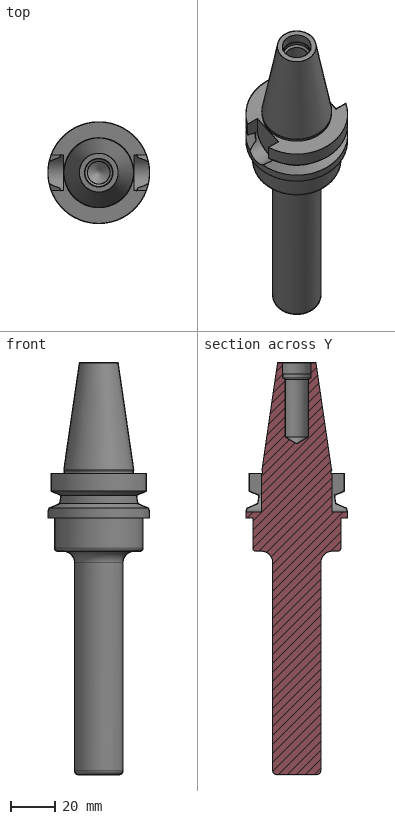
import cadquery as cq
import math

total_length = 186.4

taper_ratio = 7 / 24
taper_length = 48.5
gauge_diameter = 31.7
tip_diameter = gauge_diameter - taper_ratio * taper_length
gauge_z = total_length - taper_length
relief_diameter = 31.3
relief_top_z = 137.2

flange_diameter = 46.0
flange_top_z = 136.3
upper_rim_bottom_z = 128.2
groove_diameter = 38.0
groove_top_z = 126.4
groove_bottom_z = 122.7
lower_rim_top_z = 120.6
flange_bottom_z = 116.1

hub_diameter = 40.0
hub_bottom_z = 101.0
hub_fillet = 1.5

shank_diameter = 22.0
root_fillet = 5.0
shank_end_fillet = 1.9

slot_width = 16.2
slot_floor_x = 16.0
slot_bottom_z = 119.0

mouth_diameter = 12.9
mouth_depth = 5.2
counterbore_diameter = 12.5
counterbore_depth = 6.9
bore_diameter = 10.3
bore_depth = 33.5
drill_tip_angle = 118.0

quarter_arc_inset = 1 - math.sqrt(0.5)


def revolve_profile(profile):
    """Revolve a closed (radius, z) profile about the Z axis."""
    return profile.close().revolve(360, (0, 0, 0), (0, 1, 0))


def holder_body():
    shank_radius = shank_diameter / 2
    hub_radius = hub_diameter / 2
    flange_radius = flange_diameter / 2
    groove_radius = groove_diameter / 2
    relief_radius = relief_diameter / 2
    root_inset = root_fillet * quarter_arc_inset
    hub_inset = hub_fillet * quarter_arc_inset
    end_inset = shank_end_fillet * quarter_arc_inset
    profile = (
        cq.Workplane("XZ")
        .lineTo(shank_radius - shank_end_fillet, 0)
        .threePointArc(
            (shank_radius - end_inset, end_inset),
            (shank_radius, shank_end_fillet),
        )
        .lineTo(shank_radius, hub_bottom_z - root_fillet)
        .threePointArc(
            (shank_radius + root_inset, hub_bottom_z - root_inset),
            (shank_radius + root_fillet, hub_bottom_z),
        )
        .lineTo(hub_radius - hub_fillet, hub_bottom_z)
        .threePointArc(
            (hub_radius - hub_inset, hub_bottom_z + hub_inset),
            (hub_radius, hub_bottom_z + hub_fillet),
        )
        .lineTo(hub_radius, flange_bottom_z)
        .lineTo(flange_radius, flange_bottom_z)
        .lineTo(flange_radius, lower_rim_top_z)
        .lineTo(groove_radius, groove_bottom_z)
        .lineTo(groove_radius, groove_top_z)
        .lineTo(flange_radius, upper_rim_bottom_z)
        .lineTo(flange_radius, flange_top_z)
        .lineTo(relief_radius, flange_top_z)
        .lineTo(relief_radius, relief_top_z)
        .lineTo(gauge_diameter / 2, gauge_z)
        .lineTo(tip_diameter / 2, total_length)
        .lineTo(0, total_length)
    )
    return revolve_profile(profile)


def drive_slot(side):
    """Round-bottomed slot open at the flange top; side is -1 or +1 along X."""
    half_width = slot_width / 2
    arc_center_z = slot_bottom_z + half_width
    outline = (
        cq.Workplane("YZ", origin=(side * slot_floor_x, 0, 0))
        .moveTo(-half_width, flange_top_z)
        .lineTo(-half_width, arc_center_z)
        .threePointArc((0, slot_bottom_z), (half_width, arc_center_z))
        .lineTo(half_width, flange_top_z)
        .close()
    )
    return outline.extrude(side * flange_diameter / 2)


def taper_bore():
    """Stepped blind bore with conical drill-point seats at its lower two ends."""
    bore_radius = bore_diameter / 2
    mouth_radius = mouth_diameter / 2
    counterbore_radius = counterbore_diameter / 2
    seat_height = (counterbore_radius - bore_radius) / math.tan(math.radians(drill_tip_angle / 2))
    counterbore_bottom_z = total_length - counterbore_depth
    mouth_bottom_z = total_length - mouth_depth
    bore_bottom_z = total_length - bore_depth
    tip_height = bore_radius / math.tan(math.radians(drill_tip_angle / 2))
    profile = (
        cq.Workplane("XZ")
        .moveTo(0, bore_bottom_z - tip_height)
        .lineTo(bore_radius, bore_bottom_z)
        .lineTo(bore_radius, counterbore_bottom_z - seat_height)
        .lineTo(counterbore_radius, counterbore_bottom_z)
        .lineTo(counterbore_radius, mouth_bottom_z)
        .lineTo(mouth_radius, mouth_bottom_z)
        .lineTo(mouth_radius, total_length)
        .lineTo(0, total_length)
    )
    return revolve_profile(profile)


result = holder_body().cut(taper_bore())
for side in (-1, 1):
    result = result.cut(drive_slot(side))